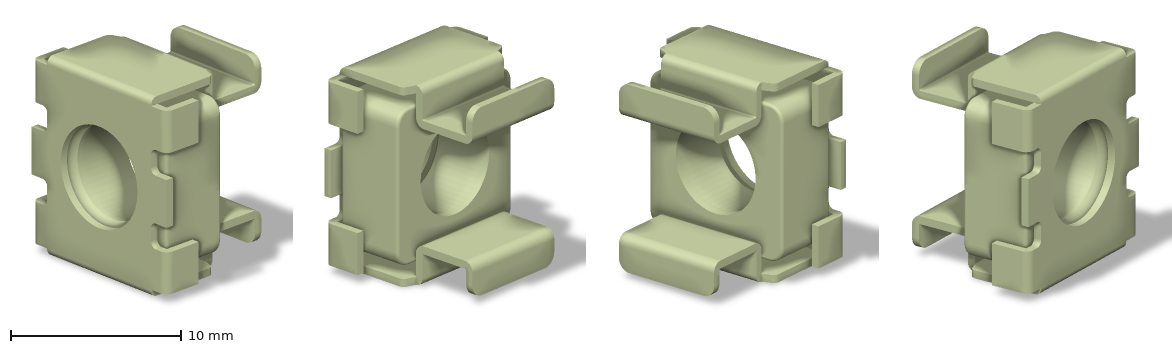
import cadquery as cq


CAGE_WIDTH = 11.4
CAGE_DEPTH = 9.8
CAGE_HEIGHT = 12.7
SHEET = 0.51

PLATE_HEIGHT = CAGE_HEIGHT - 2 * SHEET
PLATE_HOLE_DIAMETER = 6.48
TAB_DEPTH = 2.6
TAB_BEND_RADIUS = SHEET
NOTCH_INNER_Z = 1.52
NOTCH_OUTER_Z = 3.16
CORNER_RADIUS = 0.4

FLANGE_WIDTH = 8.79
HOOK_WIDTH = 7.15
LEG_FRONT_Y = 5.31
SHOULDER_Y = 5.0
STRIP_TOP_Z = 4.24
HOOK_TOP_Z = 6.0
HOOK_CORNER_RADIUS = 0.8
FRONT_BEND_RADIUS = 0.46
LEG_BEND_RADIUS = SHEET
STRIP_INNER_RADIUS = 0.1
STRIP_OUTER_RADIUS = STRIP_INNER_RADIUS + SHEET

NUT_SIZE = 10.0
NUT_THICKNESS = 4.5
NUT_CORNER_RADIUS = 1.0
NUT_EDGE_RADIUS = 0.2
BORE_DIAMETER = 6.0
COUNTERSINK = 0.47
NUT_FRONT_Y = (SHEET + LEG_FRONT_Y - NUT_THICKNESS) / 2


def box(width, height, front_y, depth, z=0.0):
    """Block centred on X = 0 and on the given Z, starting at front_y."""
    block = cq.Workplane("XY").box(width, depth, height, centered=(True, False, True))
    return block.translate((0, front_y, z))


def cylinder_along_y(diameter, front_y, length):
    """Round bar on the Y axis, starting at front_y."""
    bar = cq.Workplane("XZ").circle(diameter / 2).extrude(-length)
    return bar.translate((0, front_y, 0))


def round_edge(solid, direction, point, radius):
    """Fillet the edge nearest to a point among those running along direction."""
    nearest = cq.selectors.NearestToPointSelector(point)
    return solid.edges(direction).edges(nearest).fillet(radius)


def notch_pair():
    """Cutters for the upper and lower notch on the +X side, rounded at the inner end."""
    depth = (CAGE_WIDTH - FLANGE_WIDTH) / 2
    height = NOTCH_OUTER_Z - NOTCH_INNER_Z
    notch = box(depth, height, 0, SHEET, (NOTCH_OUTER_Z + NOTCH_INNER_Z) / 2)
    notch = notch.edges("|Y and <X").fillet(CORNER_RADIUS)
    notch = notch.translate(((FLANGE_WIDTH + depth) / 2, 0, 0))
    return notch.union(notch.mirror("XY"))


def front_plate():
    """Flat plate with a folded tab at each corner and a flat ear between tabs."""
    channel = box(CAGE_WIDTH, PLATE_HEIGHT, 0, TAB_DEPTH)
    channel = channel.edges("|Z and <Y").fillet(TAB_BEND_RADIUS)
    channel = channel.cut(box(CAGE_WIDTH - 2 * SHEET, PLATE_HEIGHT, SHEET, TAB_DEPTH))
    channel = channel.cut(box(CAGE_WIDTH, 2 * NOTCH_OUTER_Z, 0, TAB_DEPTH))
    plate = channel.union(box(CAGE_WIDTH, 2 * NOTCH_OUTER_Z, 0, SHEET))

    notches = notch_pair()
    plate = plate.cut(notches).cut(notches.mirror("YZ"))
    return plate.cut(cylinder_along_y(PLATE_HOLE_DIAMETER, 0, SHEET))


def strap_plan():
    """Outline of the strap seen along Z, as a tall prism: wide flange, narrow hook."""
    half_flange = FLANGE_WIDTH / 2
    half_hook = HOOK_WIDTH / 2
    plan = (
        cq.Workplane("XY")
        .moveTo(-half_flange, 0)
        .lineTo(half_flange, 0)
        .lineTo(half_flange, SHOULDER_Y)
        .lineTo(half_hook, LEG_FRONT_Y)
        .lineTo(half_hook, CAGE_DEPTH)
        .lineTo(-half_hook, CAGE_DEPTH)
        .lineTo(-half_hook, LEG_FRONT_Y)
        .lineTo(-half_flange, SHOULDER_Y)
        .close()
        .extrude(CAGE_HEIGHT)
    )
    for side in (-1, 1):
        shoulder = (side * half_flange, SHOULDER_Y, CAGE_HEIGHT / 2)
        plan = round_edge(plan, "|Z", shoulder, CORNER_RADIUS)
    return plan


def upper_strap():
    """Flange, leg, strip and upturned hook bent from one piece of sheet."""
    flange_top = CAGE_HEIGHT / 2
    flange_bottom = flange_top - SHEET
    leg_back = LEG_FRONT_Y + SHEET
    hook_front = CAGE_DEPTH - SHEET
    strip_bottom = STRIP_TOP_Z - SHEET

    strap = (
        cq.Workplane("YZ")
        .moveTo(0, flange_top)
        .lineTo(leg_back, flange_top)
        .lineTo(leg_back, STRIP_TOP_Z)
        .lineTo(hook_front, STRIP_TOP_Z)
        .lineTo(hook_front, HOOK_TOP_Z)
        .lineTo(CAGE_DEPTH, HOOK_TOP_Z)
        .lineTo(CAGE_DEPTH, strip_bottom)
        .lineTo(LEG_FRONT_Y, strip_bottom)
        .lineTo(LEG_FRONT_Y, flange_bottom)
        .lineTo(0, flange_bottom)
        .close()
        .extrude(FLANGE_WIDTH / 2, both=True)
    )
    bends = [
        (0, flange_top, FRONT_BEND_RADIUS),
        (leg_back, flange_top, LEG_BEND_RADIUS),
        (leg_back, STRIP_TOP_Z, STRIP_INNER_RADIUS),
        (LEG_FRONT_Y, strip_bottom, STRIP_OUTER_RADIUS),
        (hook_front, STRIP_TOP_Z, STRIP_INNER_RADIUS),
        (CAGE_DEPTH, strip_bottom, STRIP_OUTER_RADIUS),
    ]
    for y, z, radius in bends:
        strap = round_edge(strap, "|X", (0, y, z), radius)
    strap = strap.intersect(strap_plan())

    for side in (-1, 1):
        hook_corner = (side * HOOK_WIDTH / 2, CAGE_DEPTH - SHEET / 2, HOOK_TOP_Z)
        strap = round_edge(strap, "|Y", hook_corner, HOOK_CORNER_RADIUS)
    return strap


def make_cage():
    """Sheet-metal cage: front plate with mirrored straps above and below."""
    strap = upper_strap()
    return front_plate().union(strap).union(strap.mirror("XY"))


def make_nut():
    """Square nut with rounded corners, softened rims and a countersunk bore."""
    block = box(NUT_SIZE, NUT_SIZE, NUT_FRONT_Y, NUT_THICKNESS)
    block = block.edges("|Y").fillet(NUT_CORNER_RADIUS)
    block = block.faces("<Y or >Y").edges().fillet(NUT_EDGE_RADIUS)
    nut = block.cut(cylinder_along_y(BORE_DIAMETER, NUT_FRONT_Y, NUT_THICKNESS))
    bore_rim = cq.selectors.RadiusNthSelector(-1)
    return nut.faces("<Y").edges("%CIRCLE").edges(bore_rim).chamfer(COUNTERSINK)


cage = make_cage()
nut = make_nut()

result = cq.Compound.makeCompound([cage.solids().val(), nut.solids().val()])